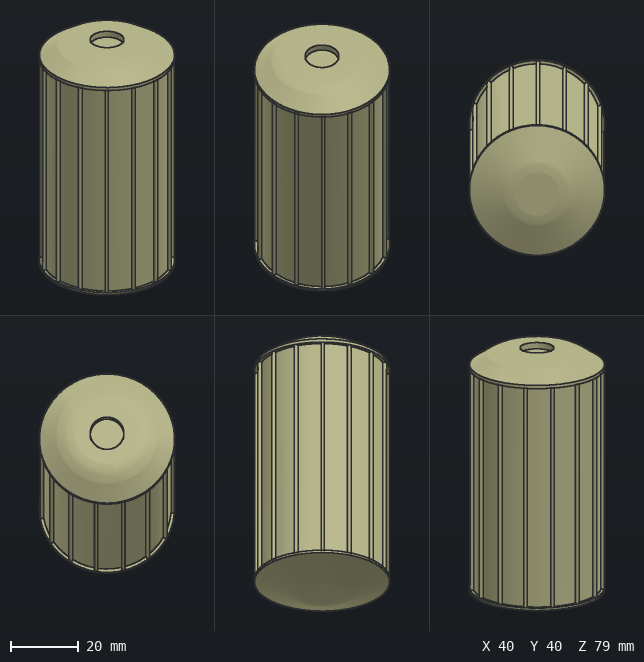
import cadquery as cq
import math

height = 79.0
outer_radius = 20.0

grip_bottom = 4.7
grip_top = 72.8
barrel_radius = 18.95
rib_radius = 0.5
rib_center_radius = outer_radius - rib_radius
rib_count = 15

lower_cone_height = 3.9
lower_cone_angle = 18.3
upper_cone_height = 5.1
upper_cone_angle = 34.2
end_rounding = 10.0

hole_radius = 5.0
hole_depth = 2.0


def face_radius(cone_height, cone_angle):
    """Radius at which an unrounded end cone meets its flat face."""
    return outer_radius - cone_height / math.tan(math.radians(cone_angle))


def make_envelope():
    """Solid of revolution with both conical ends, before recessing the grip."""
    profile = (
        cq.Workplane("XZ")
        .lineTo(face_radius(lower_cone_height, lower_cone_angle), 0)
        .lineTo(outer_radius, lower_cone_height)
        .lineTo(outer_radius, height - upper_cone_height)
        .lineTo(face_radius(upper_cone_height, upper_cone_angle), height)
        .lineTo(0, height)
        .close()
    )
    body = profile.revolve(360, (0, 0, 0), (0, 1, 0))
    body = body.faces("<Z").edges().fillet(end_rounding)
    return body.faces(">Z").edges().fillet(end_rounding)


def make_grip_recess():
    """Ring that is removed to leave the barrel between the collars."""
    return (
        cq.Workplane("XY", origin=(0, 0, grip_bottom))
        .circle(outer_radius + rib_radius)
        .circle(barrel_radius)
        .extrude(grip_top - grip_bottom)
    )


def make_ribs():
    """Straight-sided ribs with round crests at the collar radius; the first points along +X."""
    rib = (
        cq.Workplane("XY", origin=(0, 0, grip_bottom))
        .moveTo(barrel_radius - rib_radius, -rib_radius)
        .lineTo(rib_center_radius, -rib_radius)
        .threePointArc((outer_radius, 0), (rib_center_radius, rib_radius))
        .lineTo(barrel_radius - rib_radius, rib_radius)
        .close()
        .extrude(grip_top - grip_bottom)
    )
    ribs = cq.Workplane("XY")
    for index in range(rib_count):
        ribs = ribs.add(rib.rotate((0, 0, 0), (0, 0, 1), index * 360 / rib_count))
    return ribs.combine()


def make_hole():
    """Blind round hole sunk from the top face."""
    return (
        cq.Workplane("XY", origin=(0, 0, height - hole_depth))
        .circle(hole_radius)
        .extrude(hole_depth)
    )


result = make_envelope().cut(make_grip_recess()).union(make_ribs()).cut(make_hole())